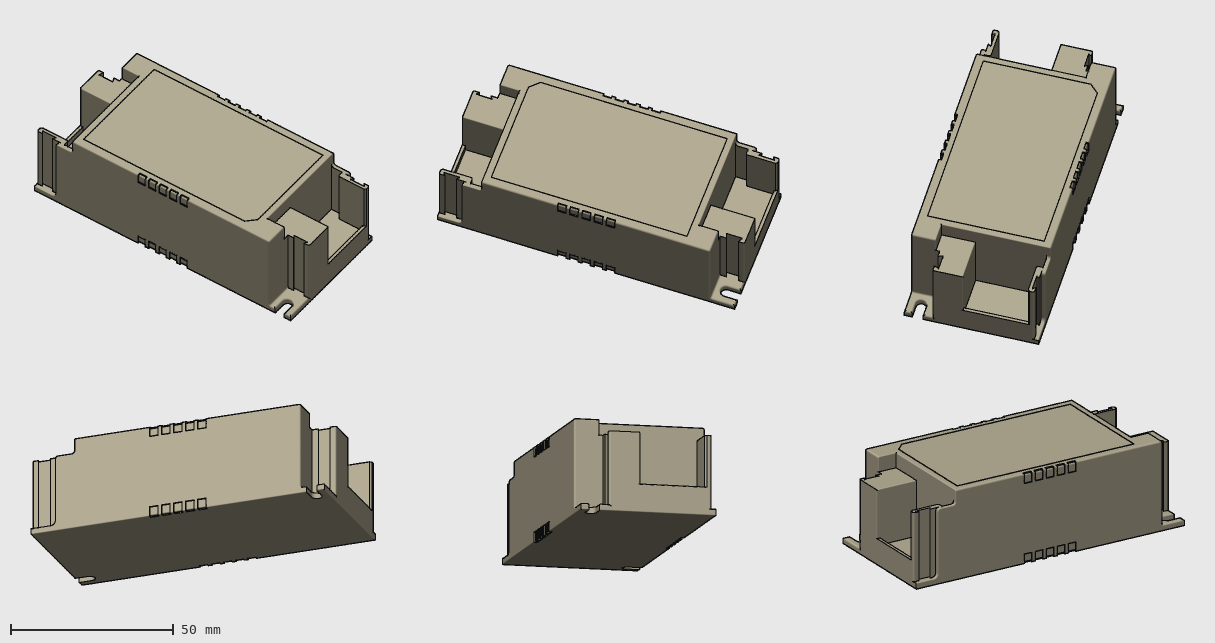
import cadquery as cq
LENGTH = 97.0
WIDTH = 43.0
HEIGHT = 30.0
EDGE_ROUND = 0.6
FINE_ROUND = 0.3

BLOCK_TOP = 25.0
BLOCK_LENGTH = 14.4
LID_TAB_WIDTH = 8.0

FOOT_LENGTH = 8.0
FOOT_HEIGHT = 2.0
SLOT_WIDTH = 3.4
SLOT_CENTRE = 4.3

POCKET_FLOOR = 6.5
LIP_TOP = 8.8
LIP_THICKNESS = 1.1
THICK_WALL_LENGTH = 10.3
WALL_THICKNESS = 3.5
ENTRY_CHAMFER = 0.6

PANEL_DEPTH = 1.5
PANEL_BOTTOM = 2.0
PANEL_FOOT_ROUND = 1.5
LEDGE_ROUND = 1.0

DOVETAIL_CENTRE = 3.9
DOVETAIL_MOUTH = 3.9
DOVETAIL_BACK = 5.1
DOVETAIL_DEPTH = 1.0
BLOCK_DOVETAIL_BACK = 10.7

GRIP_COUNT = 5
GRIP_PITCH = 4.0
GRIP_WIDTH = 2.7
GRIP_HEIGHT = 3.2
GRIP_DEPTH = 0.4

LABEL_LENGTH = 63.8
LABEL_WIDTH = 37.2
LABEL_DEPTH = 0.1
LABEL_CORNER = 2.9

HALF_LENGTH = LENGTH / 2
HALF_WIDTH = WIDTH / 2

GAP = 0.05
FOOT_MARGIN = 1.0


def block(x0, x1, d0, d1, z0, z1):
    """Box at the -X end: x from the end face, d inwards from the +Y side."""
    return (
        cq.Workplane("XY")
        .box(x1 - x0, d1 - d0, z1 - z0, centered=False)
        .translate((x0 - HALF_LENGTH, HALF_WIDTH - d1, z0))
    )


def turned(shape):
    """Half turn about Z, moving a -X end feature to the +X end."""
    return shape.rotate((0, 0, 0), (0, 0, 1), 180)


def dovetail(d_mouth, d_back, z0):
    """Vertical dovetail groove widening from d_mouth to d_back."""
    x_mid = DOVETAIL_CENTRE - HALF_LENGTH
    y_mouth = HALF_WIDTH - d_mouth
    y_back = HALF_WIDTH - d_back
    return (
        cq.Workplane("XY", origin=(0, 0, z0))
        .moveTo(x_mid - DOVETAIL_MOUTH / 2, y_mouth)
        .lineTo(x_mid + DOVETAIL_MOUTH / 2, y_mouth)
        .lineTo(x_mid + DOVETAIL_BACK / 2, y_back)
        .lineTo(x_mid - DOVETAIL_BACK / 2, y_back)
        .close()
        .extrude(BLOCK_TOP - z0)
    )


def foot_space(foot_width):
    """Clearance above a mounting foot."""
    return block(0, FOOT_LENGTH, 0, foot_width, FOOT_HEIGHT, HEIGHT)


def foot_slot(angle):
    """Open screw slot running out along -X, turned by angle about its round end."""
    profile = (
        cq.Workplane("XY")
        .moveTo(0, SLOT_WIDTH / 2)
        .lineTo(-SLOT_CENTRE, SLOT_WIDTH / 2)
        .lineTo(-SLOT_CENTRE, -SLOT_WIDTH / 2)
        .lineTo(0, -SLOT_WIDTH / 2)
        .threePointArc((SLOT_WIDTH / 2, 0), (0, SLOT_WIDTH / 2))
        .close()
    )
    centre = (SLOT_CENTRE - HALF_LENGTH, HALF_WIDTH - SLOT_CENTRE, 0)
    return profile.extrude(FOOT_HEIGHT).rotate((0, 0, 0), (0, 0, 1), angle).translate(centre)


def step_down():
    """Space above the terminal block and its pocket, up to the panelled outer wall."""
    return block(0, BLOCK_LENGTH, LID_TAB_WIDTH, WIDTH - PANEL_DEPTH, BLOCK_TOP, HEIGHT)


def panel():
    """Recessed panel, with the step above it, cut into the outside of the pocket wall."""
    x_end = -HALF_LENGTH
    x_foot = x_end + FOOT_LENGTH
    x_lid = x_end + BLOCK_LENGTH
    foot_r = PANEL_FOOT_ROUND
    ledge_r = LEDGE_ROUND
    return (
        cq.Workplane("XZ", origin=(0, PANEL_DEPTH - HALF_WIDTH, 0))
        .moveTo(x_end, PANEL_BOTTOM)
        .lineTo(x_foot - foot_r, PANEL_BOTTOM)
        .radiusArc((x_foot, PANEL_BOTTOM + foot_r), -foot_r)
        .lineTo(x_foot, BLOCK_TOP - ledge_r)
        .radiusArc((x_foot + ledge_r, BLOCK_TOP), ledge_r)
        .lineTo(x_lid - ledge_r, BLOCK_TOP)
        .radiusArc((x_lid, BLOCK_TOP + ledge_r), -ledge_r)
        .lineTo(x_lid, HEIGHT)
        .lineTo(x_end, HEIGHT)
        .close()
        .extrude(PANEL_DEPTH)
    )


def pocket(block_side):
    """Wire pocket from the block side to the outer wall, with a raised lip at its mouth."""
    wall_side = WIDTH - WALL_THICKNESS
    thin_side = WIDTH - PANEL_DEPTH
    well = block(LIP_THICKNESS, BLOCK_LENGTH, block_side, wall_side, POCKET_FLOOR, BLOCK_TOP)
    thin = block(THICK_WALL_LENGTH, BLOCK_LENGTH, block_side, thin_side, POCKET_FLOOR, BLOCK_TOP)
    mouth = block(0, LIP_THICKNESS, block_side, wall_side, LIP_TOP, BLOCK_TOP)
    return well.union(thin).union(mouth)


def entry_chamfer():
    """Wedge taken off the inner corner of the outer wall at the pocket mouth."""
    x_end = -HALF_LENGTH
    y_wall = WALL_THICKNESS - HALF_WIDTH
    return (
        cq.Workplane("XY", origin=(0, 0, LIP_TOP))
        .moveTo(x_end, y_wall)
        .lineTo(x_end + ENTRY_CHAMFER, y_wall)
        .lineTo(x_end, y_wall - ENTRY_CHAMFER)
        .close()
        .extrude(BLOCK_TOP - LIP_TOP)
    )


def edges_near(shape, x_range, d_range, z_range):
    """Edges whose centres lie inside a box given in -X end coordinates."""
    low = (x_range[0] - HALF_LENGTH - GAP, HALF_WIDTH - d_range[1] - GAP, z_range[0] - GAP)
    high = (x_range[1] - HALF_LENGTH + GAP, HALF_WIDTH - d_range[0] + GAP, z_range[1] + GAP)
    return shape.edges(cq.selectors.BoxSelector(low, high))


def round_foot_end(shape, foot_width):
    """Round the foot, its screw slot, the block above it and the lid tab behind it."""
    foot_z = (FOOT_HEIGHT, FOOT_HEIGHT)
    above_foot = (FOOT_HEIGHT, HEIGHT)
    inner_corner = edges_near(shape, (FOOT_LENGTH, FOOT_LENGTH), (0, foot_width), foot_z)
    shape = inner_corner.fillet(EDGE_ROUND)
    foot_x = (0, FOOT_LENGTH - FOOT_MARGIN)
    foot_line = edges_near(shape, foot_x, (0, foot_width - FOOT_MARGIN), foot_z)
    column = edges_near(shape, (FOOT_LENGTH, FOOT_LENGTH), (0, 0), above_foot)
    tab = edges_near(shape, (FOOT_LENGTH, FOOT_LENGTH), (0, LID_TAB_WIDTH), (HEIGHT, HEIGHT))
    shape = foot_line.add(column).add(tab).fillet(EDGE_ROUND)
    block_corner = edges_near(shape, (0, 0), (foot_width, foot_width), above_foot)
    return block_corner.fillet(EDGE_ROUND)


def round_wall_end(shape, block_side):
    """Round the pocket wall, then slightly break the block, panel outline and lid step."""
    panel_side = WIDTH - PANEL_DEPTH
    pocket_side = WIDTH - WALL_THICKNESS
    wall_z = (PANEL_BOTTOM, BLOCK_TOP)
    wall_end = edges_near(shape, (0, 0), (panel_side, panel_side), wall_z)
    shape = wall_end.fillet(EDGE_ROUND)
    jog = edges_near(shape, (THICK_WALL_LENGTH, THICK_WALL_LENGTH), (pocket_side, pocket_side), wall_z)
    shape = jog.fillet(EDGE_ROUND)
    block_x = (0, FOOT_LENGTH)
    block_edges = edges_near(shape, block_x, (block_side, block_side), (FOOT_HEIGHT, BLOCK_TOP))
    shape = block_edges.edges(">Z or <X").fillet(FINE_ROUND)
    outline = edges_near(shape, (0, BLOCK_LENGTH), (WIDTH, WIDTH), (PANEL_BOTTOM, HEIGHT - EDGE_ROUND))
    shape = outline.fillet(FINE_ROUND)
    lid_tab = (LID_TAB_WIDTH, LID_TAB_WIDTH)
    tab_edge = edges_near(shape, (FOOT_LENGTH, BLOCK_LENGTH), lid_tab, (HEIGHT, HEIGHT))
    return tab_edge.fillet(FINE_ROUND)


def cut_end(shape, foot_width, block_side, slot_angle):
    """Form the -X end: foot, terminal block, wire pocket, panel and dovetails."""
    shape = shape.cut(step_down()).cut(foot_space(foot_width)).cut(foot_slot(slot_angle))
    shape = round_foot_end(shape, foot_width)
    shape = shape.cut(panel()).cut(pocket(block_side)).cut(entry_chamfer())
    shape = round_wall_end(shape, block_side)
    shape = shape.cut(dovetail(foot_width, BLOCK_DOVETAIL_BACK, FOOT_HEIGHT))
    panel_face = WIDTH - PANEL_DEPTH
    return shape.cut(dovetail(panel_face, panel_face - DOVETAIL_DEPTH, PANEL_BOTTOM))


def rounded_case(inset):
    """Plain case with rounded long edges, shrunk by inset in Y and Z."""
    base = cq.Workplane("XY", origin=(0, 0, inset))
    case = base.box(LENGTH, WIDTH - 2 * inset, HEIGHT - 2 * inset, centered=(True, True, False))
    case = case.edges("|X and >Z").fillet(EDGE_ROUND)
    return case.edges("<Z").fillet(FINE_ROUND)


def grips():
    """Rows of shallow finger recesses wrapping round the four long edges."""
    reach = GRIP_DEPTH + EDGE_ROUND
    points = [
        ((i - (GRIP_COUNT - 1) / 2) * GRIP_PITCH, side * (HALF_WIDTH - reach / 2))
        for i in range(GRIP_COUNT)
        for side in (-1, 1)
    ]
    bars = cq.Workplane("XY").pushPoints(points).rect(GRIP_WIDTH, reach)
    low = bars.extrude(GRIP_HEIGHT)
    high = low.translate((0, 0, HEIGHT - GRIP_HEIGHT))
    return low.union(high).cut(rounded_case(GRIP_DEPTH))


def label():
    """Shallow label recess on the lid with one clipped corner."""
    return (
        cq.Workplane("XY", origin=(0, 0, HEIGHT - LABEL_DEPTH))
        .rect(LABEL_LENGTH, LABEL_WIDTH)
        .extrude(LABEL_DEPTH)
        .edges("|Z and >X and <Y")
        .chamfer(LABEL_CORNER)
    )


result = rounded_case(0)
result = cut_end(result, foot_width=9.1, block_side=18.8, slot_angle=0)
result = turned(cut_end(turned(result), foot_width=9.7, block_side=20.0, slot_angle=-90))
result = result.cut(grips()).cut(label())